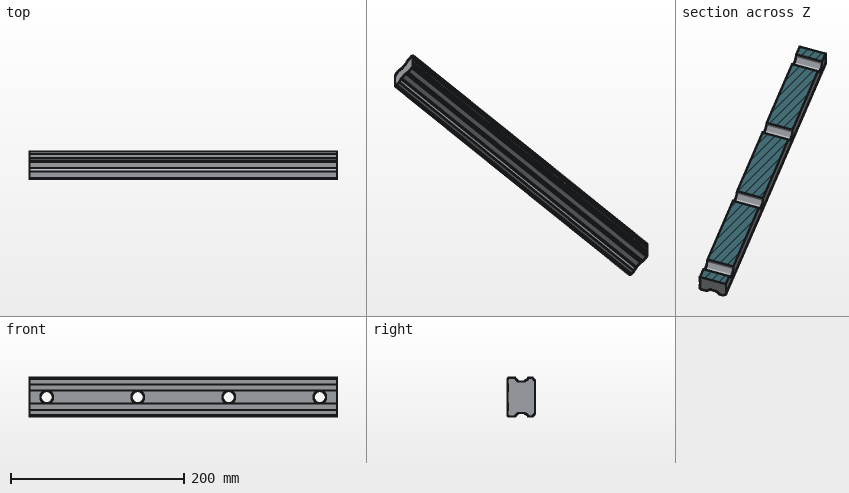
import cadquery as cq

length = 355.0
depth = 32.0
height = 45.0

front_chamfer_depth = 1.5
front_chamfer_height = 1.8
back_chamfer_depth = 3.2
back_chamfer_height = 3.5

groove_depth = 4.3
groove_start = 7.8
track_width = 3.5
track_drop = 3.2
track_sag = 0.7
step_width = 0.7
groove_floor_end = 19.5
groove_slope_width = 4.0

relief_depth = 0.5
relief_inner = 7.5
relief_outer = 15.0

hole_diameter = 14.2
hole_count = 4
hole_pitch = 105.0

half_height = height / 2
front_y = -depth / 2
back_y = depth / 2


def half_rail():
    """Upper half of the rail: its YZ section swept along X."""
    groove_back_y = back_y - groove_start
    track_end_y = groove_back_y - track_width
    track_end_z = half_height - track_drop
    floor_back_y = track_end_y - step_width
    floor_front_y = back_y - groove_floor_end
    floor_z = half_height - groove_depth
    relief_y = front_y + relief_depth
    return (
        cq.Workplane("YZ")
        .workplane(offset=-length / 2)
        .moveTo(back_y, 0)
        .lineTo(back_y, half_height - back_chamfer_height)
        .lineTo(back_y - back_chamfer_depth, half_height)
        .lineTo(groove_back_y, half_height)
        .sagittaArc((track_end_y, track_end_z), track_sag)
        .lineTo(floor_back_y, floor_z)
        .lineTo(floor_front_y, floor_z)
        .lineTo(floor_front_y - groove_slope_width, half_height)
        .lineTo(front_y + front_chamfer_depth, half_height)
        .lineTo(front_y, half_height - front_chamfer_height)
        .lineTo(front_y, relief_outer)
        .lineTo(relief_y, relief_outer)
        .lineTo(relief_y, relief_inner)
        .lineTo(front_y, relief_inner)
        .lineTo(front_y, 0)
        .close()
        .extrude(length)
    )


def mounting_holes():
    """Row of holes running through the rail from front to back."""
    return (
        cq.Workplane("XZ", origin=(0, back_y, 0))
        .rarray(hole_pitch, 3.5, hole_count, 1)
        .circle(hole_diameter / 2)
        .extrude(depth)
    )


upper_half = half_rail()
rail = upper_half.union(upper_half.mirror("XY")).clean()
result = rail.cut(mounting_holes())